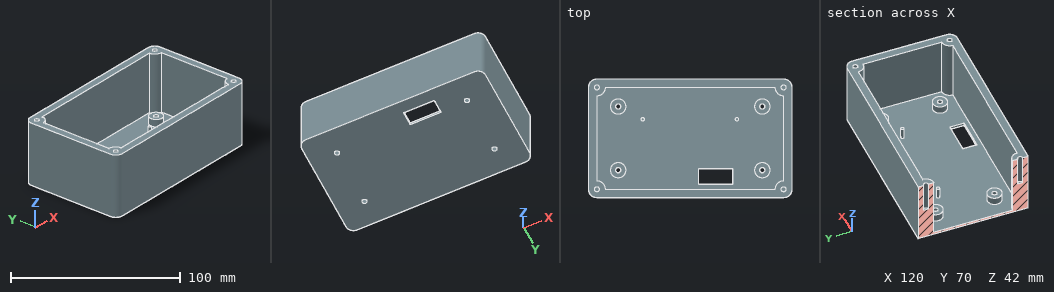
import cadquery as cq

LENGTH = 120.0
WIDTH = 70.0
HEIGHT = 42.0
WALL = 5.0
FLOOR = 2.0
CORNER_RADIUS = 5.0

PILLAR_RADIUS = 5.0
SCREW_HOLE_DIAMETER = 2.93
SCREW_HOLE_DEPTH = 20.0

STANDOFF_DIAMETER = 9.0
STANDOFF_HEIGHT = 5.0
STANDOFF_HOLE_DIAMETER = 2.93
STANDOFF_SPACING_X = 84.9
STANDOFF_SPACING_Y = 37.5

PIN_DIAMETER = 2.0
PIN_HEIGHT = 7.0
PIN_SPACING = 55.5
PIN_CENTRE_X = -0.25
PIN_Y = 11.25

WINDOW_LENGTH = 20.0
WINDOW_WIDTH = 9.0
WINDOW_CENTRE_X = 15.0
WINDOW_CENTRE_Y = -22.5

INNER_LENGTH = LENGTH - 2 * WALL
INNER_WIDTH = WIDTH - 2 * WALL


def rectangle_corners(spacing_x, spacing_y):
    """Four points at the corners of a rectangle centred on the origin."""
    return [(sx * spacing_x / 2, sy * spacing_y / 2) for sx in (-1, 1) for sy in (-1, 1)]


def cylinders(points, diameter, bottom, top):
    """Upright cylinders at the given points, between two heights."""
    return (
        cq.Workplane("XY", origin=(0, 0, bottom))
        .pushPoints(points)
        .circle(diameter / 2)
        .extrude(top - bottom)
    )


def make_box():
    """Open-topped box whose cavity leaves a round pillar in each corner."""
    pillar_points = rectangle_corners(INNER_LENGTH, INNER_WIDTH)
    shell = (
        cq.Workplane("XY")
        .rect(LENGTH, WIDTH)
        .extrude(HEIGHT)
        .edges("|Z")
        .fillet(CORNER_RADIUS)
    )
    cavity = (
        cq.Workplane("XY", origin=(0, 0, FLOOR))
        .rect(INNER_LENGTH, INNER_WIDTH)
        .extrude(HEIGHT - FLOOR)
        .cut(cylinders(pillar_points, 2 * PILLAR_RADIUS, FLOOR, HEIGHT))
    )
    screw_holes = cylinders(pillar_points, SCREW_HOLE_DIAMETER, HEIGHT - SCREW_HOLE_DEPTH, HEIGHT)
    return shell.cut(cavity).cut(screw_holes)


def add_standoffs(body):
    """Four drilled standoffs on the floor."""
    points = rectangle_corners(STANDOFF_SPACING_X, STANDOFF_SPACING_Y)
    top = FLOOR + STANDOFF_HEIGHT
    posts = cylinders(points, STANDOFF_DIAMETER, 0, top)
    holes = cylinders(points, STANDOFF_HOLE_DIAMETER, 0, top)
    return body.union(posts).cut(holes)


def add_pins(body):
    """Two slender locating pins on the floor."""
    points = [(PIN_CENTRE_X + side * PIN_SPACING / 2, PIN_Y) for side in (-1, 1)]
    return body.union(cylinders(points, PIN_DIAMETER, 0, FLOOR + PIN_HEIGHT))


def cut_window(body):
    """Rectangular opening through the floor."""
    window = (
        cq.Workplane("XY")
        .center(WINDOW_CENTRE_X, WINDOW_CENTRE_Y)
        .rect(WINDOW_LENGTH, WINDOW_WIDTH)
        .extrude(FLOOR)
    )
    return body.cut(window)


result = cut_window(add_pins(add_standoffs(make_box())))